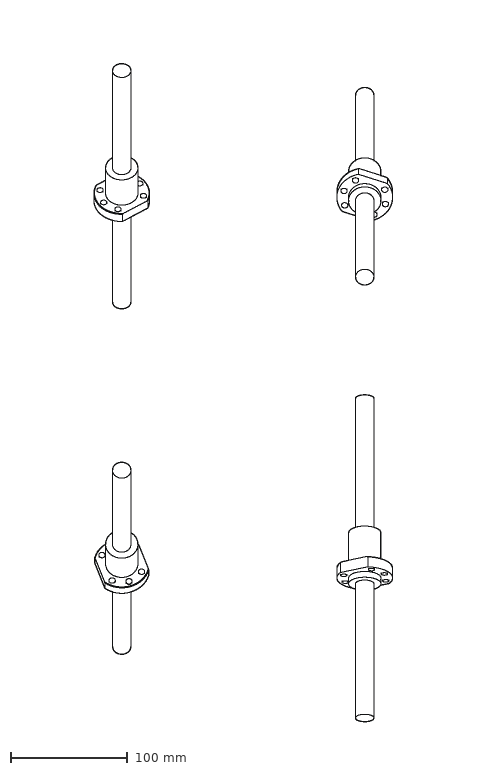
import cadquery as cq
import math

shaft_length = 300.0
shaft_diameter = 16.0

nut_length = 48.0
nut_diameter = 28.0
nut_bottom = -nut_length / 2

flange_diameter = 48.0
flange_width = 40.0
flange_thickness = 10.0
flange_chamfer = 0.5
collar_length = 5.5
flange_bottom = nut_bottom + collar_length

hole_diameter = 5.5
hole_circle_radius = 19.0
hole_angles = [45, 90, 135, 225, 270, 315]


def make_shaft():
    """Plain round shaft, centred on the origin along Z."""
    return cq.Workplane("XY").cylinder(shaft_length, shaft_diameter / 2)


def make_flange():
    """Disc chamfered around its top rim, then trimmed to two flats."""
    disc = (
        cq.Workplane("XY")
        .workplane(offset=flange_bottom)
        .circle(flange_diameter / 2)
        .extrude(flange_thickness)
        .faces(">Z")
        .edges()
        .chamfer(flange_chamfer)
    )
    flat_sided_block = (
        cq.Workplane("XY")
        .workplane(offset=flange_bottom)
        .rect(flange_width, flange_diameter)
        .extrude(flange_thickness)
    )
    return disc.intersect(flat_sided_block)


def make_mounting_holes():
    """Cutters for the holes through the flange."""
    hole_centers = []
    for angle in hole_angles:
        x = hole_circle_radius * math.cos(math.radians(angle))
        y = hole_circle_radius * math.sin(math.radians(angle))
        hole_centers.append((x, y))
    return (
        cq.Workplane("XY")
        .workplane(offset=flange_bottom)
        .pushPoints(hole_centers)
        .circle(hole_diameter / 2)
        .extrude(flange_thickness)
    )


def make_nut():
    """Flanged nut with a bore that fits the shaft."""
    barrel = (
        cq.Workplane("XY")
        .workplane(offset=nut_bottom)
        .circle(nut_diameter / 2)
        .extrude(nut_length)
    )
    body = barrel.union(make_flange())
    return body.cut(make_mounting_holes()).cut(make_shaft())


shaft = make_shaft()
nut = make_nut()

result = cq.Compound.makeCompound([shaft.val(), nut.val()])